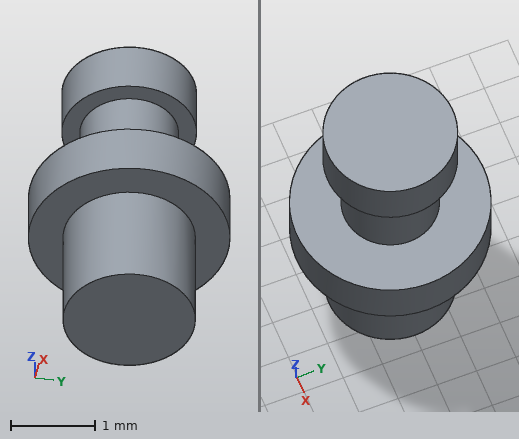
import cadquery as cq

total_height = 3.7

shank_diameter = 1.57

flange_diameter = 2.39
flange_height = 0.64

neck_diameter = 1.17
neck_height = 1.08

head_diameter = 1.6
head_height = flange_height

shank_height = total_height - flange_height - neck_height - head_height

sections = [
    (shank_diameter, shank_height),
    (flange_diameter, flange_height),
    (neck_diameter, neck_height),
    (head_diameter, head_height),
]


def stack_cylinders(sections):
    """Stack coaxial cylinders upward from Z = 0 into one solid."""
    body = None
    base_z = 0.0
    for diameter, height in sections:
        cylinder = cq.Workplane("XY").workplane(offset=base_z).circle(diameter / 2).extrude(height)
        body = cylinder if body is None else body.union(cylinder)
        base_z += height
    return body


result = stack_cylinders(sections)